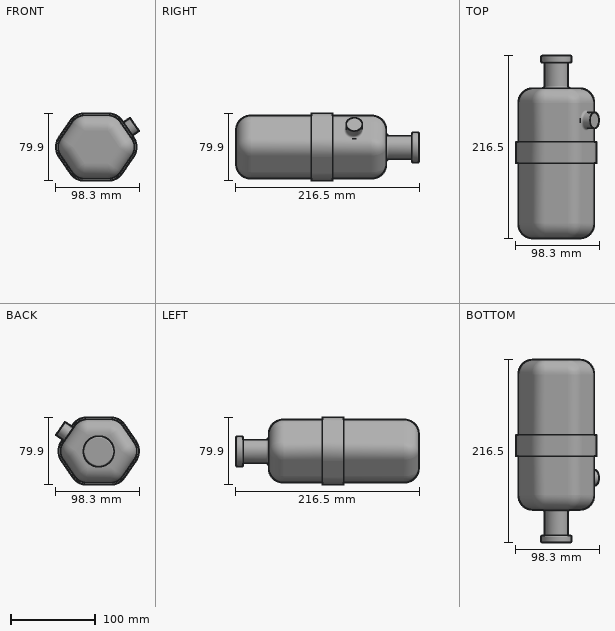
import cadquery as cq
import math

total_length = 216.5
body_length = 178.0
body_height = 74.9
body_width = 90.3
edge_radius = 17.7

core_top_half_width = 13.9
core_half_height = body_height / 2 - edge_radius
core_half_width = body_width / 2 - edge_radius
flank_run = core_half_width - core_top_half_width
flank_length = math.hypot(flank_run, core_half_height)
flank_normal_x = core_half_height / flank_length
flank_normal_z = flank_run / flank_length

band_start = 89.2
band_width = 25.0
band_thickness = 2.5
band_edge_fillet = 0.5

neck_z = -0.5
neck_radius = 14.0
neck_base_fillet = 2.5
neck_length = total_length - body_length
rim_radius = 18.2
rim_length = 8.7
rim_fillet = 2.2

port_y = 139.8
port_radius = 9.5
port_base_fillet = 2.5
port_height = 12.1

root_depth = 2.2


def hexagonal_prism(offset, start, length):
    """Sharp prism along Y with its faces at the given offset outside the core hexagon."""
    half_height = core_half_height + offset
    top_half_width = core_top_half_width + offset * (1 - flank_normal_z) / flank_normal_x
    half_width = core_half_width + offset / flank_normal_x
    points = [
        (half_width, 0),
        (top_half_width, half_height),
        (-top_half_width, half_height),
        (-half_width, 0),
        (-top_half_width, -half_height),
        (top_half_width, -half_height),
    ]
    return cq.Workplane("XZ", origin=(0, start, 0)).polyline(points).close().extrude(-length)


def make_body():
    return hexagonal_prism(edge_radius, 0, body_length).edges().fillet(edge_radius)


def make_band():
    """Solid slice around the body, its corner arcs concentric with those of the body."""
    band_radius = edge_radius + band_thickness
    band = hexagonal_prism(band_radius, band_start, band_width).edges("|Y").fillet(band_radius)
    return band.faces("<Y or >Y").edges().fillet(band_edge_fillet)


def flared_post(plane, radius, length, base_fillet):
    """Round post along the plane's local Y, flaring into the face at the plane's origin."""
    return (
        cq.Workplane(plane)
        .moveTo(0, -root_depth)
        .lineTo(radius + base_fillet, -root_depth)
        .lineTo(radius + base_fillet, 0)
        .radiusArc((radius, base_fillet), base_fillet)
        .lineTo(radius, length)
        .lineTo(0, length)
        .close()
        .revolve(360, (0, 0), (0, 1))
    )


def make_neck():
    plane = cq.Plane(origin=(0, body_length, neck_z), xDir=(1, 0, 0), normal=(0, 0, 1))
    neck = flared_post(plane, neck_radius, neck_length, neck_base_fillet)
    rim = cq.Workplane("XZ", origin=(0, total_length, neck_z)).circle(rim_radius).extrude(rim_length)
    return neck.union(rim.edges().fillet(rim_fillet))


def make_port():
    flank_x = (core_top_half_width + core_half_width) / 2 + edge_radius * flank_normal_x
    flank_z = core_half_height / 2 + edge_radius * flank_normal_z
    plane = cq.Plane(
        origin=(flank_x, port_y, flank_z),
        xDir=(0, 1, 0),
        normal=(flank_normal_z, 0, -flank_normal_x),
    )
    return flared_post(plane, port_radius, port_height, port_base_fillet)


result = make_body().union(make_band()).union(make_neck()).union(make_port())